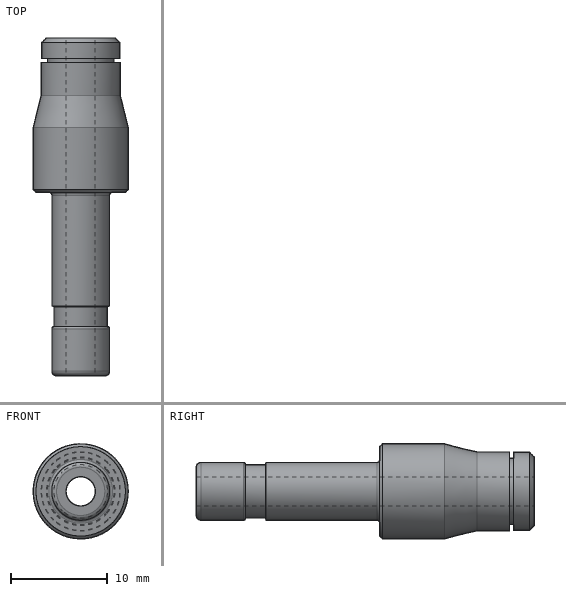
import cadquery as cq
import math

LENGTH = 35.0
TIP_Y = -LENGTH / 2
HEAD_END_Y = LENGTH / 2

BORE_DIAMETER = 3.0

STEM_RADIUS = 3.0
TIP_ROUND = 0.5
ROOT_FILLET = 0.3

STEM_GROOVE_RADIUS = 2.77
STEM_GROOVE_START_Y = TIP_Y + 4.88
STEM_GROOVE_END_Y = TIP_Y + 7.25
HEAD_SIDE_RAMP = 0.1

COLLAR_RADIUS = 4.93
COLLAR_FACE_Y = TIP_Y + 19.0
COLLAR_CHAMFER = 0.3
COLLAR_LENGTH = 6.7

HEAD_RADIUS = 4.1
TAPER_LENGTH = 3.35

HEAD_GROOVE_RADIUS = 3.45
HEAD_GROOVE_WIDTH = 0.4

END_RING_RADIUS = 4.05
END_RING_LENGTH = 2.15
END_RING_CHAMFER = 0.5


def round_middle(center_radius, center_y, radius, radial_sign, axial_sign):
    """Middle point of a quarter round, given its centre and the side it bulges to."""
    offset = radius * math.sqrt(0.5)
    return (center_radius + radial_sign * offset, center_y + axial_sign * offset)


def make_body():
    """Revolve the half profile (radius, y) around the Y axis."""
    taper_start_y = COLLAR_FACE_Y + COLLAR_LENGTH
    taper_end_y = taper_start_y + TAPER_LENGTH
    head_groove_end_y = HEAD_END_Y - END_RING_LENGTH
    head_groove_start_y = head_groove_end_y - HEAD_GROOVE_WIDTH
    tip_middle = round_middle(STEM_RADIUS - TIP_ROUND, TIP_Y + TIP_ROUND, TIP_ROUND, 1, -1)
    root_middle = round_middle(
        STEM_RADIUS + ROOT_FILLET, COLLAR_FACE_Y - ROOT_FILLET, ROOT_FILLET, -1, 1
    )
    shoulder_round = STEM_RADIUS - STEM_GROOVE_RADIUS
    shoulder_middle = round_middle(STEM_GROOVE_RADIUS, STEM_GROOVE_START_Y, shoulder_round, 1, 1)
    profile = (
        cq.Workplane("XY")
        .moveTo(0, TIP_Y)
        .lineTo(STEM_RADIUS - TIP_ROUND, TIP_Y)
        .threePointArc(tip_middle, (STEM_RADIUS, TIP_Y + TIP_ROUND))
        .lineTo(STEM_RADIUS, STEM_GROOVE_START_Y)
        .threePointArc(shoulder_middle, (STEM_GROOVE_RADIUS, STEM_GROOVE_START_Y + shoulder_round))
        .lineTo(STEM_GROOVE_RADIUS, STEM_GROOVE_END_Y - HEAD_SIDE_RAMP)
        .lineTo(STEM_RADIUS, STEM_GROOVE_END_Y)
        .lineTo(STEM_RADIUS, COLLAR_FACE_Y - ROOT_FILLET)
        .threePointArc(root_middle, (STEM_RADIUS + ROOT_FILLET, COLLAR_FACE_Y))
        .lineTo(COLLAR_RADIUS - COLLAR_CHAMFER, COLLAR_FACE_Y)
        .lineTo(COLLAR_RADIUS, COLLAR_FACE_Y + COLLAR_CHAMFER)
        .lineTo(COLLAR_RADIUS, taper_start_y)
        .lineTo(HEAD_RADIUS, taper_end_y)
        .lineTo(HEAD_RADIUS, head_groove_start_y)
        .lineTo(HEAD_GROOVE_RADIUS, head_groove_start_y)
        .lineTo(HEAD_GROOVE_RADIUS, head_groove_end_y)
        .lineTo(END_RING_RADIUS, head_groove_end_y)
        .lineTo(END_RING_RADIUS, HEAD_END_Y - END_RING_CHAMFER)
        .lineTo(END_RING_RADIUS - END_RING_CHAMFER, HEAD_END_Y)
        .lineTo(0, HEAD_END_Y)
        .close()
    )
    return profile.revolve(360, (0, 0), (0, 1))


def make_bore():
    """Cylinder along the whole Y axis."""
    tip_plane = cq.Plane(origin=(0, TIP_Y, 0), xDir=(1, 0, 0), normal=(0, 1, 0))
    return cq.Workplane(tip_plane).circle(BORE_DIAMETER / 2).extrude(LENGTH)


result = make_body().cut(make_bore())